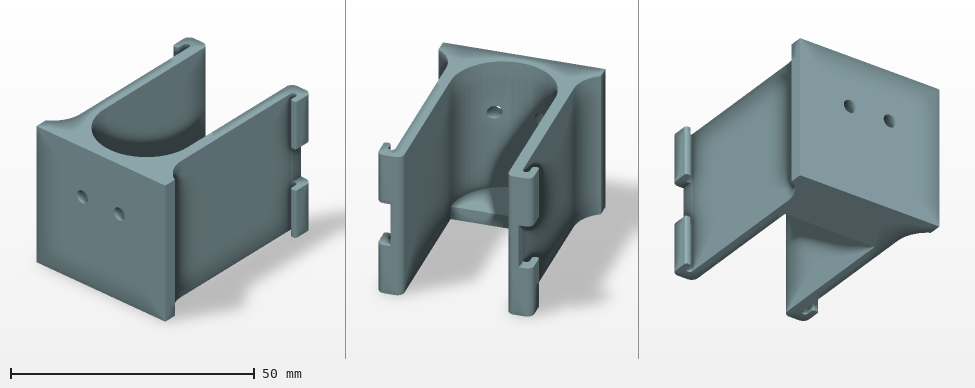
import cadquery as cq
import math

width = 35.0
depth = 46.75
height = 33.0

base_thickness = 3.0
bore_radius = 11.25
arm_thickness = 2.5
flare_radius = 7.5
floor_thickness = 3.0

hook_tip_thickness = 1.5
hook_slot_width = 1.5
hook_length = 5.0
hook_bridge = 2.5
hook_corner_radius = 1.5
hook_tip_radius = 0.5
notch_height = 10.0
notch_stand_off = 0.1

hole_diameter = 3.0
hole_spacing = 10.0
hole_height = 21.0

half_width = width / 2
bore_center_y = base_thickness + bore_radius
arm_outer_x = bore_radius + arm_thickness
slot_outer_x = arm_outer_x + hook_slot_width
hook_outer_x = slot_outer_x + hook_tip_thickness
hook_tip_y = depth - hook_length
slot_radius = hook_slot_width / 2
slot_arc_y = depth - hook_bridge - slot_radius

flare_center_x = arm_outer_x + flare_radius
flare_rise = math.sqrt(flare_radius**2 - (flare_center_x - half_width) ** 2)
flare_top_y = base_thickness + flare_rise
flare_mid_angle = math.asin(flare_rise / flare_radius) / 2
flare_mid = (
    flare_center_x - flare_radius * math.cos(flare_mid_angle),
    flare_top_y - flare_radius * math.sin(flare_mid_angle),
)


def make_right_half():
    """Half of the profile, from the center plane to the +X hook, at full height."""
    half = (
        cq.Workplane("XY")
        .lineTo(half_width, 0)
        .lineTo(half_width, base_thickness)
        .threePointArc(flare_mid, (arm_outer_x, flare_top_y))
        .lineTo(arm_outer_x, slot_arc_y)
        .threePointArc(
            (arm_outer_x + slot_radius, slot_arc_y + slot_radius),
            (slot_outer_x, slot_arc_y),
        )
        .lineTo(slot_outer_x, hook_tip_y)
        .lineTo(hook_outer_x, hook_tip_y)
        .lineTo(hook_outer_x, depth)
        .lineTo(bore_radius, depth)
        .lineTo(bore_radius, bore_center_y)
        .threePointArc(
            (bore_radius * math.sqrt(0.5), bore_center_y - bore_radius * math.sqrt(0.5)),
            (0, base_thickness),
        )
        .close()
        .extrude(height)
    )
    half = half.edges("|Z").edges(">Y").fillet(hook_corner_radius)
    tip_corners = [(x, hook_tip_y, height / 2) for x in (slot_outer_x, hook_outer_x)]
    for corner in tip_corners:
        half = half.edges(cq.selectors.NearestToPointSelector(corner)).fillet(hook_tip_radius)
    return half


def make_hook_notch():
    """Block that removes the middle of the +X hook."""
    notch_start_x = arm_outer_x + notch_stand_off
    return cq.Workplane("XY").box(
        hook_outer_x - notch_start_x, hook_length, notch_height, centered=(False, False, True)
    ).translate((notch_start_x, hook_tip_y, height / 2))


def make_floor():
    """Half-round plate closing the bottom of the cradle."""
    return (
        cq.Workplane("XY")
        .moveTo(-bore_radius, bore_center_y)
        .threePointArc((0, base_thickness), (bore_radius, bore_center_y))
        .close()
        .extrude(floor_thickness)
    )


def make_mounting_holes():
    """Pair of pins along Y that pierce the base plate into the cradle."""
    return (
        cq.Workplane("XZ")
        .pushPoints([(side * hole_spacing / 2, hole_height) for side in (-1, 1)])
        .circle(hole_diameter / 2)
        .extrude(-bore_center_y)
    )


right_half = make_right_half().cut(make_hook_notch())
body = right_half.union(right_half.mirror("YZ"))
result = body.union(make_floor()).cut(make_mounting_holes())